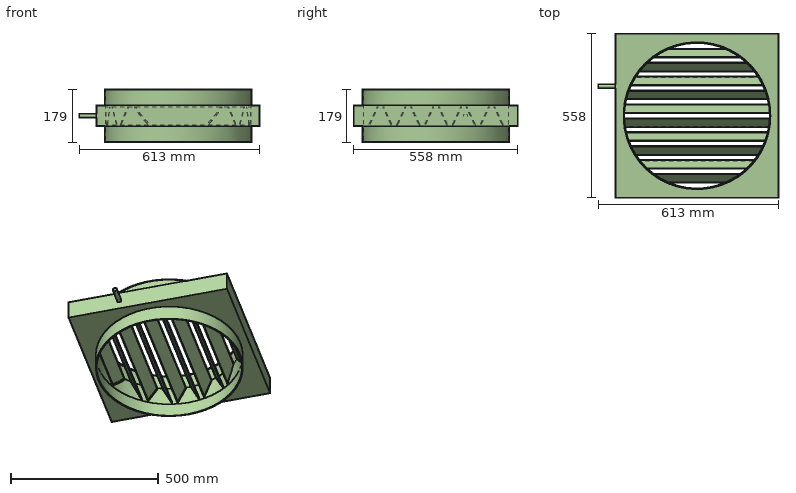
import cadquery as cq
import math

overall_x = 613.0
shaft_reach = 59.0
frame_x = overall_x - shaft_reach
frame_y = 558.0
frame_height = 70.0

duct_length = 179.0
duct_diameter = 499.5
duct_wall = 3.0
bore_diameter = duct_diameter - 2 * duct_wall

blade_count = 10
blade_pitch = 47.0
blade_span_y = 31.0
blade_thickness = 3.0
blade_tilt = 65.0
tilt_rad = math.radians(blade_tilt)
blade_chord = (blade_span_y - blade_thickness * math.sin(tilt_rad)) / math.cos(tilt_rad)

shaft_diameter = 15.0
shaft_y = 100.0


def make_housing():
    """Frame and duct with a clear bore through both."""
    frame = cq.Workplane("XY").box(frame_x, frame_y, frame_height)
    duct = cq.Workplane("XY").circle(duct_diameter / 2).extrude(duct_length / 2, both=True)
    bore = cq.Workplane("XY").circle(bore_diameter / 2).extrude(duct_length / 2, both=True)
    return frame.union(duct).cut(bore)


def make_blade(y, tilt):
    """Flat blade across the bore, ending inside the duct wall."""
    blade = (
        cq.Workplane("XY")
        .box(duct_diameter, blade_chord, blade_thickness)
        .rotate((0, 0, 0), (1, 0, 0), tilt)
        .translate((0, y, 0))
    )
    trim_radius = (duct_diameter - duct_wall) / 2
    trim = cq.Workplane("XY").circle(trim_radius).extrude(duct_length / 2, both=True)
    return blade.intersect(trim)


def make_shaft():
    """Round stub standing out from the -X face of the frame."""
    return (
        cq.Workplane("YZ", origin=(-frame_x / 2, 0, 0))
        .center(shaft_y, 0)
        .circle(shaft_diameter / 2)
        .extrude(-shaft_reach)
    )


result = make_housing().union(make_shaft())
for index in range(blade_count):
    blade_y = (index - (blade_count - 1) / 2) * blade_pitch
    tilt = blade_tilt if index % 2 == 0 else -blade_tilt
    result = result.union(make_blade(blade_y, tilt))